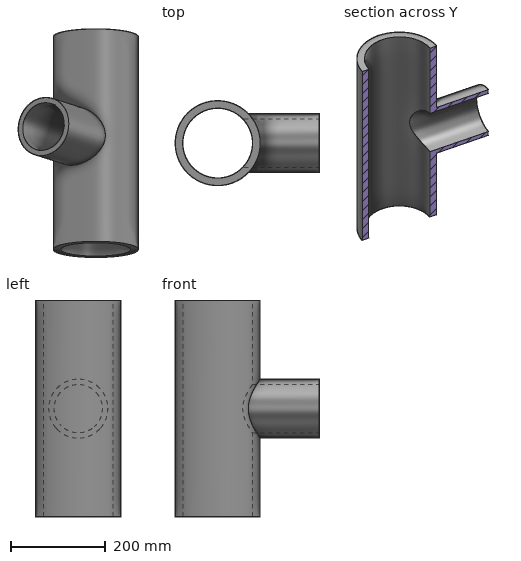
import cadquery as cq

main_diameter = 180.0
main_wall = 16.4
main_length = 458.0

branch_diameter = 125.0
branch_wall = 11.4
branch_reach = 215.0

main_bore = main_diameter - 2 * main_wall
branch_bore = branch_diameter - 2 * branch_wall


def main_cylinder(diameter):
    """Full-length cylinder along the main axis."""
    return cq.Workplane("XY").circle(diameter / 2).extrude(main_length / 2, both=True)


def branch_cylinder(diameter):
    """Cylinder from the main axis to the open end of the branch."""
    return cq.Workplane("YZ").circle(diameter / 2).extrude(branch_reach)


outer_body = main_cylinder(main_diameter).union(branch_cylinder(branch_diameter))

result = outer_body.cut(main_cylinder(main_bore)).cut(branch_cylinder(branch_bore))